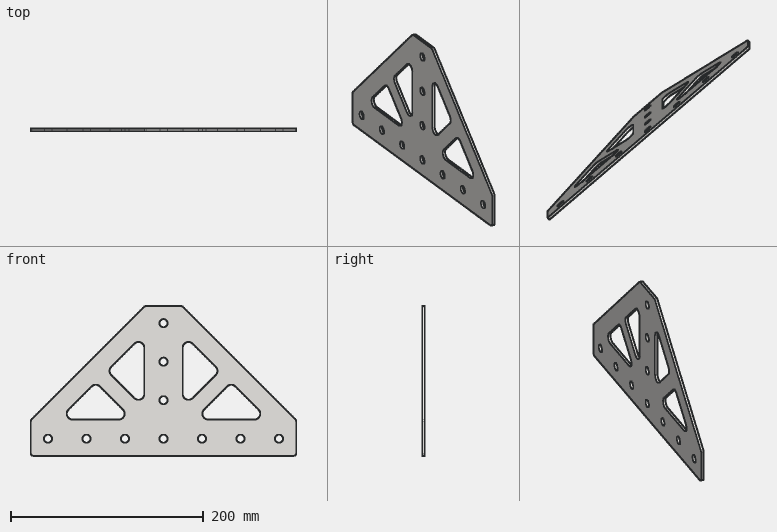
import cadquery as cq
import math

pitch = 40.0
hole_diameter = 8.2
edge_margin = 18.0
holes_each_side = 3
holes_above_base = 3

thickness = 3.0
half_width = holes_each_side * pitch + edge_margin
height = holes_above_base * pitch + 2 * edge_margin
half_band = pitch / 2
base_band_top = edge_margin + half_band
corner_radius = 3.0
shoulder_drop = 0.85

rim_width = 20.0
web_width = 17.0
window_radius = 6.0


def plate_blank():
    """Plate with a flat top and 45 degree sloping shoulders, front face at Y = 0."""
    outline = [
        (-half_width, 0),
        (half_width, 0),
        (half_width, base_band_top - shoulder_drop),
        (half_band - shoulder_drop, height),
        (-half_band + shoulder_drop, height),
        (-half_width, base_band_top - shoulder_drop),
    ]
    blank = cq.Workplane("XZ").polyline(outline).close().extrude(-thickness)
    return blank.edges("|Y").fillet(corner_radius)


def window(corners):
    """Cutter for one triangular window with rounded corners."""
    cutter = cq.Workplane("XZ").polyline(corners).close().extrude(-thickness)
    return cutter.edges("|Y").fillet(window_radius)


def left_windows():
    """Cutters for the base window and the column window left of the centre."""
    near = web_width / 2 * math.sqrt(2)
    far = half_width - half_band - shoulder_drop - rim_width * math.sqrt(2)
    middle = (near + far) / 2
    depth = (far - near) / 2
    window_profile = [(near, 0), (far, 0), (middle, depth)]

    base_corners = [(-half_band - along, base_band_top + out) for along, out in window_profile]
    column_corners = [(-half_band - out, base_band_top + along) for along, out in window_profile]
    return window(base_corners).union(window(column_corners))


def holes():
    """Cutters for the base row and the centre column of holes."""
    base_row = [(i * pitch, edge_margin) for i in range(-holes_each_side, holes_each_side + 1)]
    column = [(0, edge_margin + i * pitch) for i in range(1, holes_above_base + 1)]
    centres = base_row + column
    return cq.Workplane("XZ").pushPoints(centres).circle(hole_diameter / 2).extrude(-thickness)


windows = left_windows()
result = plate_blank().cut(windows).cut(windows.mirror("YZ")).cut(holes())